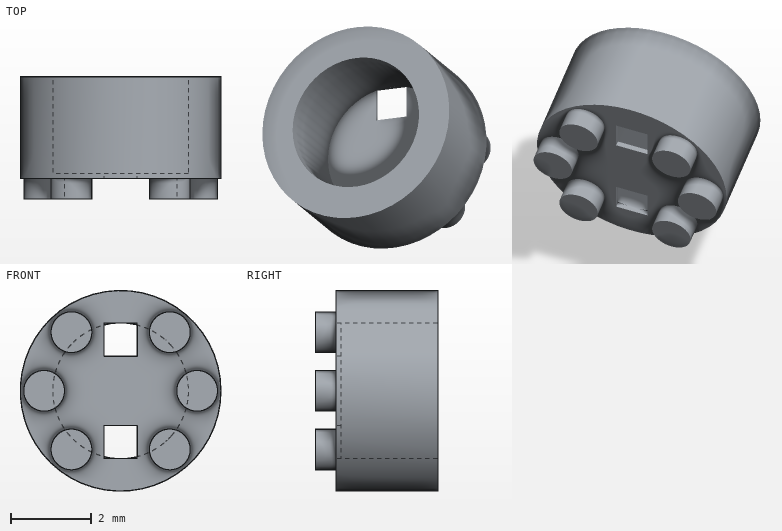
import cadquery as cq
import math

body_diameter = 5.0
body_depth = 2.54
front_thickness = 0.125
bore_diameter = 3.38

peg_diameter = 1.015
peg_length = 0.51
peg_circle_radius = 1.905
peg_angles = (0, 50, 130, 180, 230, 310)

window_side = 0.82
window_offset = 1.275


def front_plane(y):
    """Plane facing -Y at the given y, with local axes along X and Z."""
    return cq.Workplane("XZ", origin=(0, y, 0))


def make_cup():
    """Cylinder closed at the front and bored from the back."""
    body = front_plane(body_depth).circle(body_diameter / 2).extrude(body_depth)
    bore_depth = body_depth - front_thickness
    bore = front_plane(body_depth).circle(bore_diameter / 2).extrude(bore_depth)
    return body.cut(bore)


def make_pegs():
    """Ring of pegs, leaving the top and bottom clear for the windows."""
    centers = [
        (
            peg_circle_radius * math.cos(math.radians(angle)),
            peg_circle_radius * math.sin(math.radians(angle)),
        )
        for angle in peg_angles
    ]
    return front_plane(0).pushPoints(centers).circle(peg_diameter / 2).extrude(peg_length)


def make_windows():
    """Square cutters through the front wall, above and below the axis."""
    centers = [(0, window_offset), (0, -window_offset)]
    return (
        front_plane(front_thickness)
        .pushPoints(centers)
        .rect(window_side, window_side)
        .extrude(front_thickness)
    )


result = make_cup().cut(make_windows()).union(make_pegs())